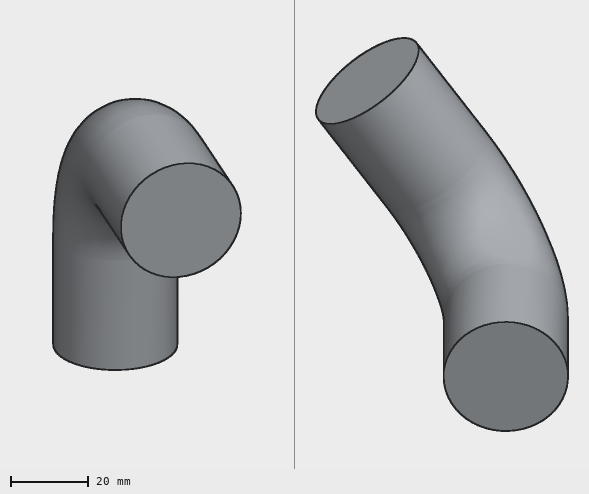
import cadquery as cq

outer_diameter = 32.0
bend_radius = 32.0
leg_length = 31.0
bend_angle = 90.0

outer_radius = outer_diameter / 2


def lower_leg():
    """Vertical leg, rising along Z from the open end to the bend."""
    return cq.Workplane("XY").circle(outer_radius).extrude(leg_length)


def bend():
    """Quarter torus turning from +Z to +X about an axis parallel to Y."""
    return (
        cq.Workplane("XY", origin=(0, 0, leg_length))
        .circle(outer_radius)
        .revolve(bend_angle, (bend_radius, 0, 0), (bend_radius, 1, 0))
    )


def upper_leg():
    """Horizontal leg, running along X from the end of the bend."""
    return (
        cq.Workplane("YZ", origin=(bend_radius, 0, leg_length + bend_radius))
        .circle(outer_radius)
        .extrude(leg_length)
    )


result = lower_leg().union(bend()).union(upper_leg())